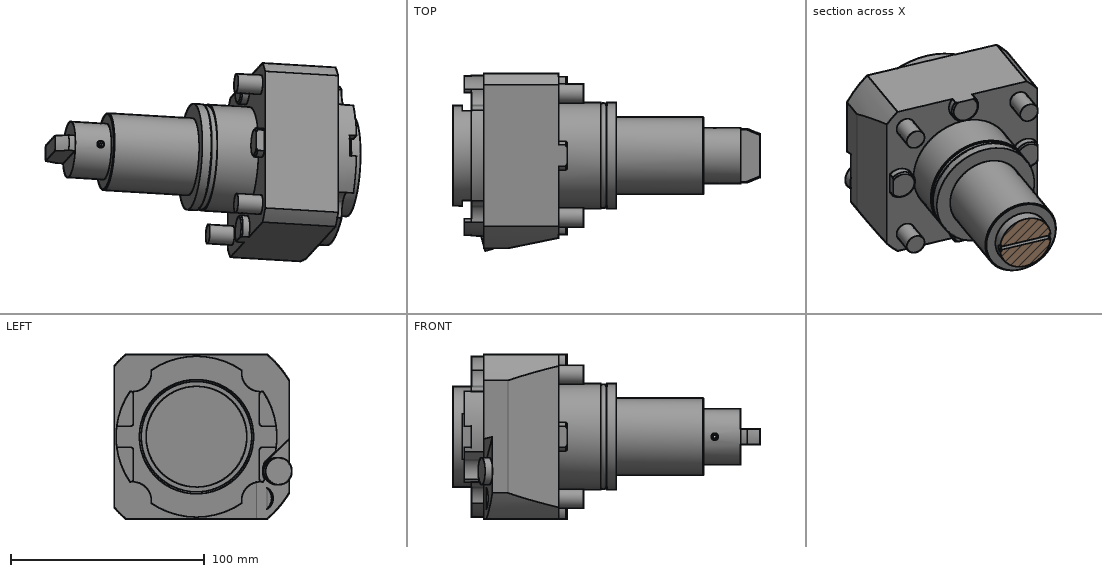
import cadquery as cq
import math


HOUSING_FRONT = -38.7
HOUSING_HALF = 42.5
HOUSING_TURNED_RADIUS = 56.0
LEVER_SIDE_Y = -47.9
TAPER_START = -26.2

FLANGE_FRONT = -45.0
FLANGE_RADIUS = 41.5
NOTCH_OFFSET = 32.9
NOTCH_RADIUS = 9.6
NOTCH_FLOOR_RADIUS = 36.935
LUG_FRONT = -48.7
LUG_INNER_Y = 32.5
LUG_INNER_FILLET = 1.4
KEYWAY_HALF_WIDTH = 5.5

SPINDLE_FRONT = -54.5
SPINDLE_RADIUS = 26.0
SPINDLE_FLAT_FRONT = -49.6
SPINDLE_FLAT_END = -44.3
SPINDLE_FLAT_HALF = 23.2
RECESS_RADIUS = 29.5
RECESS_FLOOR_RADIUS = 28.5
RECESS_DEPTH = 2.0

COLLAR_RADIUS = 27.5
COLLAR_END = 29.8
GROOVE_START = 21.8
GROOVE_END = 25.0
GROOVE_BOTTOM_RADIUS = 26.0
SEAL_END = 24.5
SEAL_CREST_RADIUS = 27.2
SEAL_EDGE_RADIUS = 26.6
SHANK_RADIUS = 20.0
SHANK_END = 75.0
SHANK_CHAMFER = 0.5
PILOT_RADIUS = 14.5
PILOT_END = 94.0
PIN_HOLE_X = 80.6
PIN_HOLE_RADIUS = 0.8
PIN_COUNTERBORE_RADIUS = 1.8
PIN_COUNTERBORE_DEPTH = 1.0

TANG_RADIUS = 14.0
TANG_TAPER_START = 97.3
TANG_END = 104.0
TANG_TIP_RADIUS = 11.3
TANG_HALF_THICKNESS = 4.1

KEY_LENGTH = 4.4
KEY_RADIUS = 7.5
KEY_FLAT_HALF_WIDTH = 5.5
KEY_CHAMFER = 0.8
KEY_OUTER_Z = HOUSING_HALF
KEY_OUTER_Y = 40.75
BOLT_RADIUS = 5.0
BOLT_LENGTH = 13.0
BOLT_OFFSET = 32.0

SEAT_EDGE_Y = -30.8
SEAT_TILT = math.radians(15)
SEAT_WALL_U = 17.7

LEVER_FRONT_Y = -42.5
LEVER_Z = -17.8
LEVER_RADIUS = 7.0
LEVER_THICKNESS = 4.0
CLEARANCE_Y = -42.4
CLEARANCE_RADIUS = 8.3

STUD_FACE_X = -37.2
STUD_Y = -31.15
STUD_Z = -31.85
STUD_FACE_RADIUS = 7.6
STUD_LENGTH = 2.0

LARGE = 200.0


def disc(radius, start, end):
    """Cylinder on the spindle axis between two X positions."""
    return cq.Workplane("YZ").workplane(offset=start).circle(radius).extrude(end - start)


def box(x_range, y_range, z_range):
    """Axis-parallel box between the given limits."""
    size = [high - low for low, high in (x_range, y_range, z_range)]
    corner = (x_range[0], y_range[0], z_range[0])
    return cq.Workplane("XY").box(*size, centered=False).translate(corner)


def make_housing():
    outline = [
        (HOUSING_FRONT, HOUSING_HALF),
        (0, HOUSING_HALF),
        (0, -HOUSING_HALF),
        (TAPER_START, LEVER_SIDE_Y),
        (HOUSING_FRONT, LEVER_SIDE_Y),
    ]
    block = (
        cq.Workplane("XY")
        .workplane(offset=-HOUSING_HALF)
        .polyline(outline)
        .close()
        .extrude(2 * HOUSING_HALF)
    )
    return block.intersect(disc(HOUSING_TURNED_RADIUS, HOUSING_FRONT, 0))


def four_spots(offset):
    """Y, Z positions at the corners of a square about the spindle axis."""
    return [(y * offset, z * offset) for y in (1, -1) for z in (1, -1)]


def make_notches():
    """Round notches at the four flange corners, stopped at an inner floor radius."""
    length = HOUSING_FRONT - LUG_FRONT
    start = cq.Workplane("YZ").workplane(offset=LUG_FRONT)
    notches = start.pushPoints(four_spots(NOTCH_OFFSET)).circle(NOTCH_RADIUS).extrude(length)
    return notches.cut(disc(NOTCH_FLOOR_RADIUS, LUG_FRONT, HOUSING_FRONT))


def make_half_lug(y_sign, z_sign):
    """Raised pad on the flange between the keyway and a notch, with rounded inner corners."""
    y_range = sorted((y_sign * LUG_INNER_Y, y_sign * FLANGE_RADIUS))
    z_range = sorted((z_sign * KEYWAY_HALF_WIDTH, z_sign * NOTCH_OFFSET))
    spot = (y_sign * NOTCH_OFFSET, z_sign * NOTCH_OFFSET)
    start = cq.Workplane("YZ").workplane(offset=LUG_FRONT)
    notch = start.center(*spot).circle(NOTCH_RADIUS).extrude(FLANGE_FRONT - LUG_FRONT)
    lug = disc(FLANGE_RADIUS, LUG_FRONT, FLANGE_FRONT)
    lug = lug.intersect(box((LUG_FRONT, FLANGE_FRONT), y_range, z_range)).cut(notch)
    inner_face = "<Y" if y_sign > 0 else ">Y"
    return lug.faces(inner_face).edges("|X").fillet(LUG_INNER_FILLET)


def make_flange():
    flange = disc(FLANGE_RADIUS, FLANGE_FRONT, HOUSING_FRONT).cut(make_notches())
    for y_sign in (1, -1):
        for z_sign in (1, -1):
            flange = flange.union(make_half_lug(y_sign, z_sign))
    recess = (
        cq.Workplane("YZ")
        .workplane(offset=FLANGE_FRONT)
        .circle(RECESS_RADIUS)
        .workplane(offset=RECESS_DEPTH)
        .circle(RECESS_FLOOR_RADIUS)
        .loft()
    )
    return flange.cut(recess)


def make_spindle():
    nose = disc(SPINDLE_RADIUS, SPINDLE_FRONT, HOUSING_FRONT)
    for side in (1, -1):
        y_low, y_high = sorted((side * SPINDLE_FLAT_HALF, side * LARGE))
        relief = box((SPINDLE_FLAT_FRONT, SPINDLE_FLAT_END), (y_low, y_high), (-LARGE, LARGE))
        nose = nose.cut(relief)
    return nose


def make_shank():
    seal_crest = ((GROOVE_START + SEAL_END) / 2, SEAL_CREST_RADIUS)
    after_seal = [
        (SEAL_END, GROOVE_BOTTOM_RADIUS),
        (GROOVE_END, GROOVE_BOTTOM_RADIUS),
        (GROOVE_END, COLLAR_RADIUS),
        (COLLAR_END, COLLAR_RADIUS),
        (COLLAR_END, SHANK_RADIUS),
        (SHANK_END - SHANK_CHAMFER, SHANK_RADIUS),
        (SHANK_END, SHANK_RADIUS - SHANK_CHAMFER),
        (SHANK_END, PILOT_RADIUS),
        (PILOT_END, PILOT_RADIUS),
        (PILOT_END, 0),
    ]
    profile = (
        cq.Workplane("XY")
        .polyline([(0, 0), (0, COLLAR_RADIUS), (GROOVE_START, COLLAR_RADIUS)])
        .lineTo(GROOVE_START, SEAL_EDGE_RADIUS)
        .threePointArc(seal_crest, (SEAL_END, SEAL_EDGE_RADIUS))
    )
    for point in after_seal:
        profile = profile.lineTo(*point)
    shank = profile.close().revolve(360, (0, 0, 0), (1, 0, 0))
    through = cq.Workplane("XZ").center(PIN_HOLE_X, 0).circle(PIN_HOLE_RADIUS).extrude(LARGE, both=True)
    shank = shank.cut(through)
    for side in (1, -1):
        counterbore = (
            cq.Workplane("XZ", origin=(0, side * (PILOT_RADIUS - PIN_COUNTERBORE_DEPTH), 0))
            .center(PIN_HOLE_X, 0)
            .circle(PIN_COUNTERBORE_RADIUS)
            .extrude(-side * PIN_COUNTERBORE_DEPTH)
        )
        shank = shank.cut(counterbore)
    return shank


def make_tang():
    profile = [
        (PILOT_END, 0),
        (PILOT_END, TANG_RADIUS),
        (TANG_TAPER_START, TANG_RADIUS),
        (TANG_END, TANG_TIP_RADIUS),
        (TANG_END, 0),
    ]
    turned = cq.Workplane("XY").polyline(profile).close().revolve(360, (0, 0, 0), (1, 0, 0))
    slab = box(
        (PILOT_END, TANG_END),
        (-LARGE, LARGE),
        (-TANG_HALF_THICKNESS, TANG_HALF_THICKNESS),
    )
    return turned.intersect(slab)


def make_keys():
    """Four keys on the mounting face, at the ends of the Y and Z axes."""
    flat_distance = math.sqrt(KEY_RADIUS**2 - KEY_FLAT_HALF_WIDTH**2)
    keys = cq.Workplane("YZ")
    for quarter in range(4):
        outer = KEY_OUTER_Z if quarter % 2 else KEY_OUTER_Y
        pin = disc(KEY_RADIUS, 0, KEY_LENGTH).faces(">X").chamfer(KEY_CHAMFER)
        pin = pin.translate((0, outer - flat_distance, 0))
        key = pin.intersect(box((0, KEY_LENGTH), (0, outer), (-KEY_RADIUS, KEY_RADIUS)))
        keys = keys.add(key.rotate((0, 0, 0), (1, 0, 0), 90 * quarter))
    return keys.combine()


def make_bolts():
    return cq.Workplane("YZ").pushPoints(four_spots(BOLT_OFFSET)).circle(BOLT_RADIUS).extrude(BOLT_LENGTH)


def seat_workplane():
    """Workplane on the seat: local x is U, local y is Z, the normal points out of the housing."""
    along = (math.sin(SEAT_TILT), -math.cos(SEAT_TILT), 0)
    outward = (-math.cos(SEAT_TILT), -math.sin(SEAT_TILT), 0)
    return cq.Workplane(cq.Plane((HOUSING_FRONT, SEAT_EDGE_Y, 0), along, outward))


def seat_u(y):
    """Distance along the seat of a point lying on it at the given Y."""
    return (SEAT_EDGE_Y - y) / math.cos(SEAT_TILT)


def make_seat_cut():
    outline = [
        (0, -LARGE),
        (0, -SEAT_WALL_U),
        (LARGE, LARGE - SEAT_WALL_U),
        (LARGE, -LARGE),
    ]
    return seat_workplane().polyline(outline).close().extrude(LARGE)


def make_stud():
    """45 degree cone with its flat face square to the spindle axis, mostly sunk in the housing."""
    return (
        cq.Workplane("YZ", origin=(STUD_FACE_X, STUD_Y, STUD_Z))
        .circle(STUD_FACE_RADIUS)
        .workplane(offset=STUD_LENGTH)
        .circle(STUD_FACE_RADIUS + STUD_LENGTH)
        .loft()
    )


def make_lever():
    base_y = LEVER_FRONT_Y + LEVER_THICKNESS * math.sin(SEAT_TILT)
    return seat_workplane().center(seat_u(base_y), LEVER_Z).circle(LEVER_RADIUS).extrude(LEVER_THICKNESS)


def make_clearance_cut():
    """Cutout through flange and lug: round about the lever, opening outwards along a 45 degree side."""
    length = HOUSING_FRONT - LUG_FRONT
    tangent = CLEARANCE_RADIUS * math.sqrt(0.5)
    plane = cq.Workplane("YZ", origin=(LUG_FRONT, CLEARANCE_Y, LEVER_Z))
    opening = [
        (0, 0),
        (tangent, tangent),
        (tangent - FLANGE_RADIUS, tangent + FLANGE_RADIUS),
        (-FLANGE_RADIUS, 0),
    ]
    round_part = plane.circle(CLEARANCE_RADIUS).extrude(length)
    return round_part.union(plane.polyline(opening).close().extrude(length))


housing = make_housing().cut(make_seat_cut()).union(make_stud())
flange = make_flange().cut(make_clearance_cut())
result = housing.union(flange).union(make_lever()).union(make_spindle())
result = result.union(make_shank()).union(make_tang()).union(make_keys()).union(make_bolts())